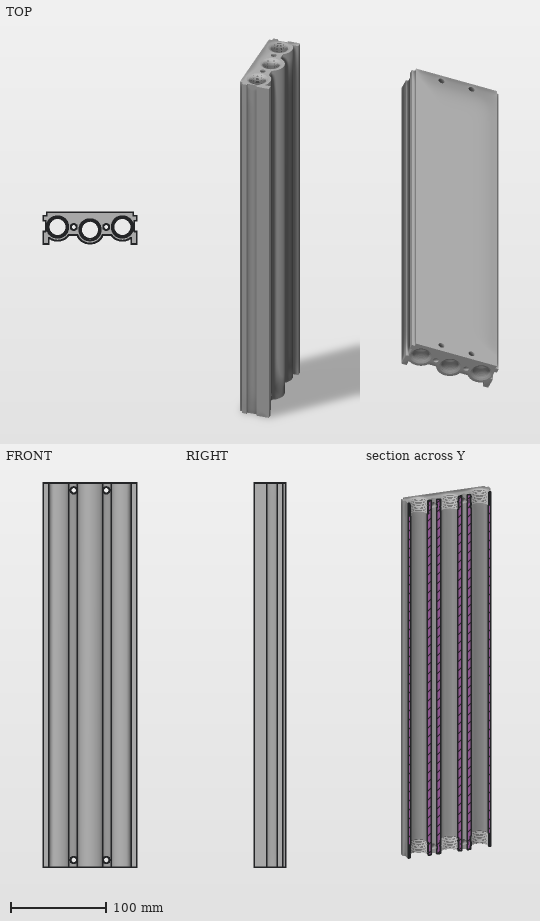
import cadquery as cq

width = 98.0
depth = 33.5
length = 403.0
half_width = width / 2
back_y = depth / 2
front_y = -depth / 2

corner_step = 3.5
lug_front = 9.0
side_slot_depth = 2.5
leg_start = 20.0
leg_width = 6.0
web_thickness = 24.0

lobe_radius = 14.5
bore_diameter = 18.6
side_bore_x = 34.0
side_bore_depth = 15.5
side_bore_y = back_y - side_bore_depth
middle_lobe_inset = 0.5
middle_bore_y = front_y + middle_lobe_inset + lobe_radius
bore_centers = [(-side_bore_x, side_bore_y), (0, middle_bore_y), (side_bore_x, side_bore_y)]

thread_major_diameter = 20.955
thread_pitch = 1.814
thread_turns = 8
port_mouth_diameter = 22.5
port_chamfer = 1.0

small_hole_x = 17.0
long_hole_diameter = 6.0
mounting_hole_diameter = 6.5
mounting_hole_end_distance = 7.8


def make_profile():
    """Web with stepped back corners, side slots, two front legs and three lobes."""
    slot_x = half_width - side_slot_depth
    right_half = [
        (0, back_y),
        (half_width - corner_step, back_y),
        (half_width - corner_step, back_y - corner_step),
        (half_width, back_y - corner_step),
        (half_width, back_y - lug_front),
        (slot_x, back_y - lug_front),
        (slot_x, back_y - leg_start),
        (half_width, back_y - leg_start),
        (half_width, front_y),
        (half_width - leg_width, front_y),
        (half_width - leg_width, back_y - web_thickness),
        (0, back_y - web_thickness),
    ]
    half = cq.Workplane("XY").polyline(right_half).close().extrude(length)
    body = half.union(half.mirror("YZ"))
    lobes = cq.Workplane("XY").pushPoints(bore_centers).circle(lobe_radius).extrude(length)
    between_slots = cq.Workplane("XY").rect(2 * slot_x, depth).extrude(length)
    return body.union(lobes.intersect(between_slots))


def port_section():
    """Points (radius, Z) of the port at the Z = 0 end: a chamfered mouth, then V grooves."""
    bore_radius = bore_diameter / 2
    points = [(port_mouth_diameter / 2, 0), (bore_radius, port_chamfer)]
    for turn in range(thread_turns):
        groove_start = port_chamfer + turn * thread_pitch
        points.append((thread_major_diameter / 2, groove_start + thread_pitch / 2))
        points.append((bore_radius, groove_start + thread_pitch))
    return points


def bore_cutter():
    """A through bore, centred on the Z axis, with a threaded port at each end."""
    lower_port = port_section()
    upper_port = [(radius, length - z) for radius, z in reversed(lower_port)]
    half_section = [(0, 0)] + lower_port + upper_port + [(0, length)]
    return cq.Workplane("XZ").polyline(half_section).close().revolve(360, (0, 0), (0, 1))


def long_holes():
    """Two holes along the full length, between the bores."""
    centers = [(-small_hole_x, side_bore_y), (small_hole_x, side_bore_y)]
    return cq.Workplane("XY").pushPoints(centers).circle(long_hole_diameter / 2).extrude(length)


def mounting_holes():
    """Four holes from front to back, two near each end."""
    centers = [
        (x, z)
        for x in (-small_hole_x, small_hole_x)
        for z in (mounting_hole_end_distance, length - mounting_hole_end_distance)
    ]
    plane = cq.Workplane("XZ", origin=(0, back_y, 0))
    return plane.pushPoints(centers).circle(mounting_hole_diameter / 2).extrude(depth)


result = make_profile()
for center_x, center_y in bore_centers:
    result = result.cut(bore_cutter().translate((center_x, center_y, 0)))
result = result.cut(long_holes()).cut(mounting_holes())